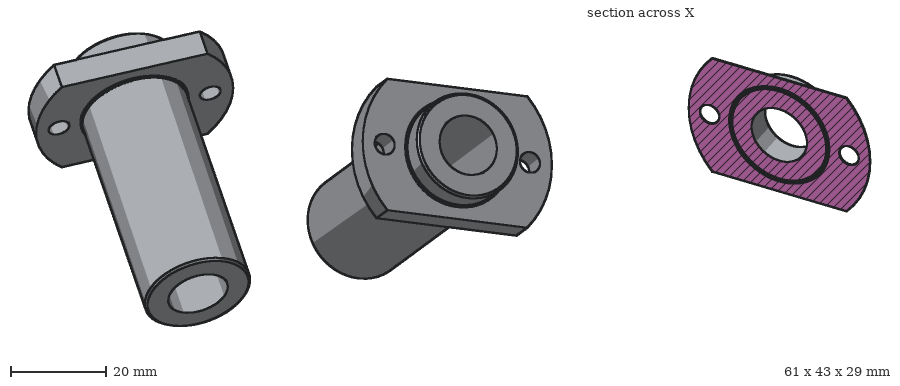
import cadquery as cq

length = 61.0
sleeve_diameter = 23.0
bore_diameter = 13.0
end_chamfer = 0.5

flange_start = 6.0
flange_thickness = 6.0
flange_diameter = 43.0
flange_height = 29.0

relief_size = 0.3

hole_diameter = 4.5
hole_spacing = 33.0


def rod(diameter, start, rod_length):
    """Solid cylinder along X, beginning at the given X position."""
    return cq.Workplane("YZ", origin=(start, 0, 0)).circle(diameter / 2).extrude(rod_length)


def make_sleeve():
    return rod(sleeve_diameter, 0, length).faces("<X or >X").chamfer(end_chamfer)


def make_flange():
    disc = rod(flange_diameter, flange_start, flange_thickness)
    trim = cq.Workplane("YZ", origin=(flange_start, 0, 0)).rect(flange_diameter, flange_height)
    flange = disc.intersect(trim.extrude(flange_thickness))
    for side in (-1, 1):
        hole = rod(hole_diameter, flange_start, flange_thickness)
        flange = flange.cut(hole.translate((0, side * hole_spacing / 2, 0)))
    return flange


def make_relief(corner_x):
    """Ring with a square section, centred on a corner between sleeve and flange."""
    start = corner_x - relief_size
    width = 2 * relief_size
    outer = rod(sleeve_diameter + 2 * relief_size, start, width)
    return outer.cut(rod(sleeve_diameter - 2 * relief_size, start, width))


bore = rod(bore_diameter, 0, length)
result = make_sleeve().union(make_flange()).cut(bore)
for corner_x in (flange_start, flange_start + flange_thickness):
    result = result.cut(make_relief(corner_x))